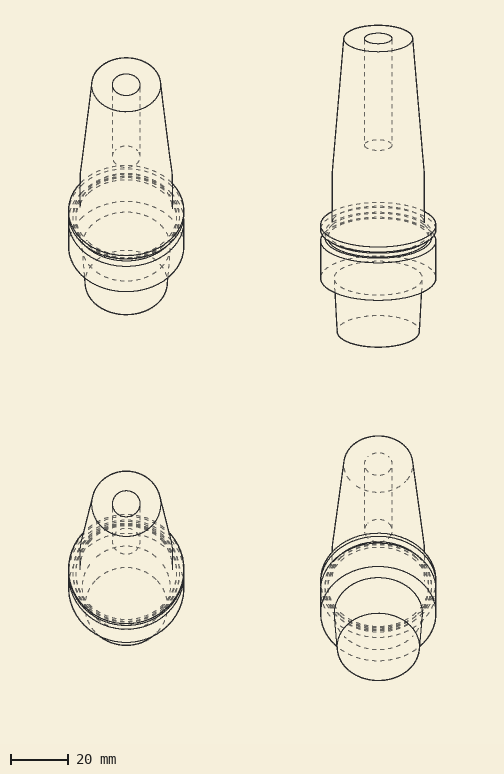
import cadquery as cq

total_length = 110.0
flange_base_z = 20.0
groove_base_z = 34.1
groove_top_z = 38.2
flange_top_z = 40.0
nose_base_z = 59.3

shank_end_diameter = 28.6
shank_root_diameter = 30.6
flange_diameter = 40.0
groove_diameter = 35.0
body_diameter = 32.0
nose_tip_diameter = 24.0
bore_diameter = 9.6

groove_chamfer_height = 1.1
groove_chamfer_width = 1.5
root_fillet = 1.0
bore_depth = 40.0


def radial_profile():
    """Half section of the holder, with radius along X and height along Z."""
    flange_radius = flange_diameter / 2
    groove_radius = groove_diameter / 2
    body_radius = body_diameter / 2
    groove_lip_radius = flange_radius - groove_chamfer_width
    lower_lip_z = groove_base_z + groove_chamfer_height
    upper_lip_z = groove_top_z - groove_chamfer_height
    fillet_end = (body_radius, flange_top_z + root_fillet)

    profile = cq.Workplane("XZ").moveTo(0, 0)
    profile = profile.lineTo(shank_end_diameter / 2, 0)
    profile = profile.lineTo(shank_root_diameter / 2, flange_base_z)
    profile = profile.lineTo(flange_radius, flange_base_z)
    profile = profile.lineTo(flange_radius, groove_base_z)
    profile = profile.lineTo(groove_lip_radius, lower_lip_z)
    profile = profile.lineTo(groove_radius, lower_lip_z)
    profile = profile.lineTo(groove_radius, upper_lip_z)
    profile = profile.lineTo(groove_lip_radius, upper_lip_z)
    profile = profile.lineTo(flange_radius, groove_top_z)
    profile = profile.lineTo(flange_radius, flange_top_z)
    profile = profile.lineTo(body_radius + root_fillet, flange_top_z)
    profile = profile.radiusArc(fillet_end, root_fillet)
    profile = profile.lineTo(body_radius, nose_base_z)
    profile = profile.lineTo(nose_tip_diameter / 2, total_length)
    return profile.lineTo(0, total_length).close()


def tool_bore():
    """Blind bore that opens at the nose tip."""
    bore = cq.Workplane("XY").workplane(offset=total_length - bore_depth)
    return bore.circle(bore_diameter / 2).extrude(bore_depth)


holder = radial_profile().revolve(360, (0, 0, 0), (0, 1, 0))
result = holder.cut(tool_bore())